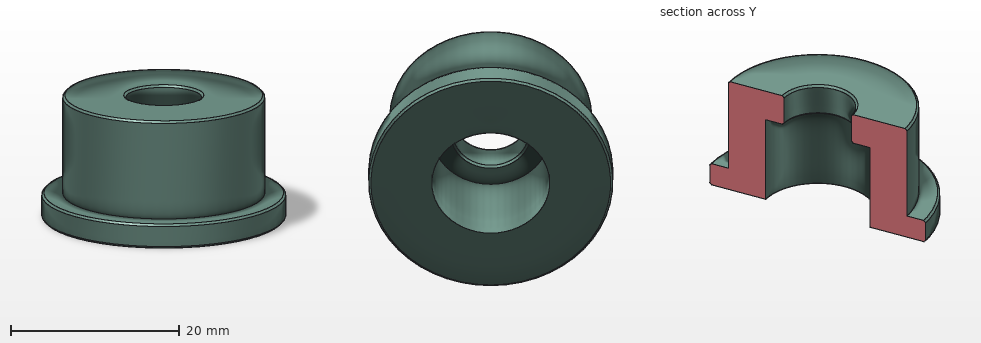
import cadquery as cq

flange_diameter = 29.0
flange_thickness = 3.0
body_diameter = 24.0
total_height = 15.0
edge_chamfer = 0.25

neck_diameter = 9.0
neck_length = 4.0
lower_bore_diameter = 14.0


def chamfered_disc(diameter, height):
    """Upright disc on the XY plane with both rims chamfered."""
    disc = cq.Workplane("XY").circle(diameter / 2).extrude(height)
    return disc.edges().chamfer(edge_chamfer)


def stepped_bore():
    """Cutter for the bore, including the chamfers at both ends of the neck."""
    lower_bore_depth = total_height - neck_length
    mouth_radius = neck_diameter / 2 + edge_chamfer
    profile = (
        cq.Workplane("XZ")
        .lineTo(lower_bore_diameter / 2, 0)
        .lineTo(lower_bore_diameter / 2, lower_bore_depth)
        .lineTo(mouth_radius, lower_bore_depth)
        .lineTo(neck_diameter / 2, lower_bore_depth + edge_chamfer)
        .lineTo(neck_diameter / 2, total_height - edge_chamfer)
        .lineTo(mouth_radius, total_height)
        .lineTo(0, total_height)
        .close()
    )
    return profile.revolve(360, (0, 0, 0), (0, 1, 0))


flange = chamfered_disc(flange_diameter, flange_thickness)
body = (
    cq.Workplane("XY")
    .circle(body_diameter / 2)
    .extrude(total_height)
    .faces(">Z")
    .edges()
    .chamfer(edge_chamfer)
)

result = flange.union(body).cut(stepped_bore())